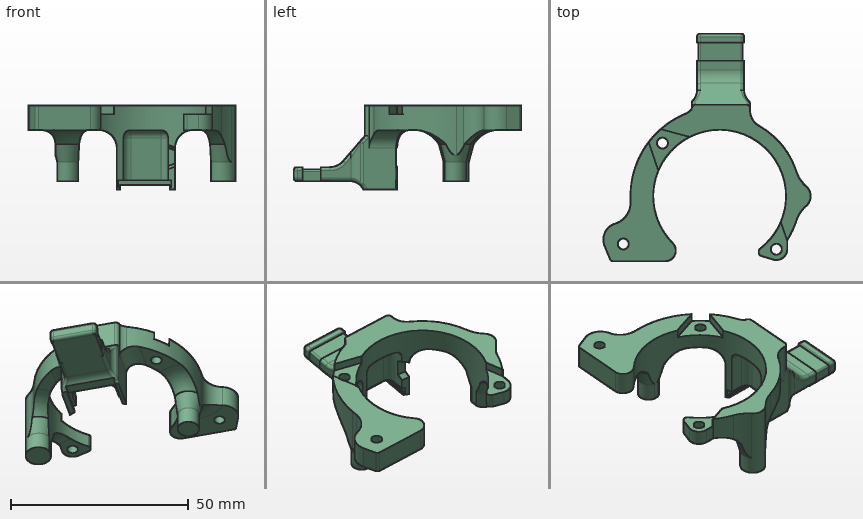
import cadquery as cq
import math

PLATE_THICKNESS = 7.0
BORE_RADIUS = 18.65
LEFT_RING_RADIUS = 25.1
RIGHT_RING_RADIUS = 22.7
BACK_Y = 25.75
FRONT_Y = -18.3
HOLE_DIAMETER = 3.0
SCREW_SEAT_DEPTH = 2.5

FOOT_CENTER = (-28.0, -12.25)
FOOT_RADIUS = 4.75
FOOT_CORNER = (-30.6, FRONT_Y)
FOOT_CORNER_RADIUS = 0.95
FOOT_NECK_RADIUS = 6.0
FOOT_TIP_RADIUS = 3.0
FOOT_HOLE = (-27.1, -13.45)

LUG_CENTER = (15.95, -14.9)
LUG_RADIUS = 3.1
LUG_TIP_RADIUS = 1.2
LUG_EDGE_NORMAL = math.radians(-107)
LUG_SEAT_EDGE = ((17.2, -7.2), (18.9, -12.25))

SEAT_HOLE = (-16.1, 14.9)
SEAT_UPPER_EDGE = ((-8.65, 16.7), (-16.55, 18.85))
SEAT_LOWER_EDGE = ((-17.3, 7.3), (-20.0, 15.3))

LEG_BOTTOM = -14.4
LEG_FLARE_BOTTOM = -9.0
LEG_CONE_TOP = -3.9
LEG_CONE_GROWTH = 1.35
LEG_FLARE_RADIUS = 8.3
LEFT_LEG_RADIUS = 3.0
LEFT_LEG = (-21.6, 0.2)
RIGHT_LEG_RADIUS = 3.6
RIGHT_LEG = (22.05, 0)
RIGHT_LOBE_NECK_RADIUS = 10.0

BLOCK_LEFT = -7.9
BLOCK_RIGHT = 8.6
BLOCK_BOTTOM = -16.7
BLOCK_ROOT_RADIUS = 5.0
BLOCK_WEB_LEFT_RADIUS = 4.0
BLOCK_WEB_RIGHT_RADIUS = 5.0
BLOCK_WEB_RIGHT_END_Y = 24.15
BLOCK_CORNER_RADIUS = 1.2
POCKET_CENTER_X = 0.3
POCKET_WIDTH = 12.55
POCKET_BACK_Y = 23.25
POCKET_ROUNDING = 2.1
POCKET_BOTTOM = -14.15
SLOT_CENTER_X = 0.05
SLOT_WIDTH = 14.85
SLOT_BOTTOM = -16.0
SLOT_BACK_Y = 24.2
SLOT_MOUTH_WIDTH = 14.0
BACK_WALL_BOTTOM = -15.45

WINDOW_ANGLE = math.radians(65)
WINDOW_Z = -7.55
WINDOW_BORE_RADIUS = 18.6
WINDOW_BACK_RADIUS = 20.25
WINDOW_BORE_HALF_HEIGHT = 3.0
WINDOW_BACK_HALF_HEIGHT = 1.85
WINDOW_HALF_LENGTH = 3.2
WINDOW_NARROWING = 0.31

STRAP_CENTER_X = 0.25
STRAP_WIDTH = 13.3
STRAP_END_Y = 45.75
STRAP_TOP = -10.4
STRAP_BOTTOM = -14.4
STRAP_ROOT_Y = 24.35
STRAP_BEND_Y = 35.55
STRAP_BEND_RADIUS = 4.95
STRAP_SLOPE = math.radians(49)
STRAP_ROUNDING = 0.95
GROOVE_START_Y = 38.1
GROOVE_END_Y = 43.2
GROOVE_SIDE_DEPTH = 0.4
GROOVE_TOP_DEPTH = 0.6
GROOVE_ROUNDING = 0.6
STRAP_HEAD_ROUNDING = 0.3
STRAP_FLARE_RADIUS = 4.0


def polar(radius, angle):
    """Point at a radius and angle around the bore axis."""
    return (radius * math.cos(angle), radius * math.sin(angle))


def toward(start, end, distance):
    """Point at a distance from start in the direction of end."""
    length = math.dist(start, end)
    return tuple(a + (b - a) * distance / length for a, b in zip(start, end))


def arc_middle(center, radius, start, end):
    """Middle of the shorter arc from start to end."""
    chord_middle = ((start[0] + end[0]) / 2, (start[1] + end[1]) / 2)
    return toward(center, chord_middle, radius)


def tangent_point(point, center, radius, side):
    """Touch point of the line from a point to a circle; side is +1 or -1."""
    to_point = math.atan2(point[1] - center[1], point[0] - center[0])
    half_angle = math.acos(radius / math.dist(point, center))
    x, y = polar(radius, to_point + side * half_angle)
    return (center[0] + x, center[1] + y)


def circles_meet(center_a, radius_a, center_b, radius_b, side):
    """Meeting point of two circles; side is +1 or -1."""
    gap = math.dist(center_a, center_b)
    bearing = math.atan2(center_b[1] - center_a[1], center_b[0] - center_a[0])
    turn = math.acos((radius_a**2 + gap**2 - radius_b**2) / (2 * radius_a * gap))
    x, y = polar(radius_a, bearing + side * turn)
    return (center_a[0] + x, center_a[1] + y)


def bore_tip(normal, edge_distance, radius, side):
    """Centre of a round tip that touches the bore and a straight edge.

    The edge lies edge_distance from the bore axis, along its outward normal.
    """
    along_normal = edge_distance - radius
    along_edge = side * math.sqrt((BORE_RADIUS + radius) ** 2 - along_normal**2)
    across = normal + math.pi / 2
    return (
        along_normal * math.cos(normal) + along_edge * math.cos(across),
        along_normal * math.sin(normal) + along_edge * math.sin(across),
    )


ORIGIN = (0, 0)
PRISM_HEIGHT = PLATE_THICKNESS - BLOCK_BOTTOM
STRAP_LEFT = STRAP_CENTER_X - STRAP_WIDTH / 2
STRAP_RIGHT = STRAP_CENTER_X + STRAP_WIDTH / 2
BEYOND_PLATE = 64.1


def prism(wire):
    """Extrude a closed outline over the full height of the part."""
    return wire.extrude(PRISM_HEIGHT)


def base():
    """Workplane at the lowest level of the part."""
    return cq.Workplane("XY", origin=(0, 0, BLOCK_BOTTOM))


def slab(x0, x1, y0, y1, z0, z1):
    """Box given by its limits along the three axes."""
    return cq.Workplane("XY").box(x1 - x0, y1 - y0, z1 - z0, centered=False).translate((x0, y0, z0))


def opening(center_x, width, back_y, z0, z1):
    """Box that opens toward the bore, with its width centred on center_x."""
    return slab(center_x - width / 2, center_x + width / 2, 0, back_y, z0, z1)


def left_ring():
    """Upper left quarter of the ring."""
    ring = base().circle(LEFT_RING_RADIUS).extrude(PRISM_HEIGHT)
    return ring.intersect(slab(-LEFT_RING_RADIUS, 0, 0, BACK_Y, BLOCK_BOTTOM, PLATE_THICKNESS))


def left_foot():
    """Straight arm and wide foot below the left quarter of the ring."""
    arm_x = -LEFT_RING_RADIUS
    neck_x = arm_x - FOOT_NECK_RADIUS
    neck_y = FOOT_CENTER[1] + math.sqrt(
        (FOOT_RADIUS + FOOT_NECK_RADIUS) ** 2 - (neck_x - FOOT_CENTER[0]) ** 2
    )
    neck = (neck_x, neck_y)
    neck_start = (arm_x, neck_y)
    neck_end = toward(neck, FOOT_CENTER, FOOT_NECK_RADIUS)
    foot_end = tangent_point(FOOT_CORNER, FOOT_CENTER, FOOT_RADIUS, -1)
    foot_left = (FOOT_CENTER[0] - FOOT_RADIUS, FOOT_CENTER[1])
    tip = bore_tip(-math.pi / 2, -FRONT_Y, FOOT_TIP_RADIUS, -1)
    tip_right = (tip[0] + FOOT_TIP_RADIUS, tip[1])
    outline = (
        base()
        .moveTo(*ORIGIN)
        .lineTo(arm_x, 0)
        .lineTo(*neck_start)
        .threePointArc(arc_middle(neck, FOOT_NECK_RADIUS, neck_start, neck_end), neck_end)
        .threePointArc(foot_left, foot_end)
        .lineTo(*FOOT_CORNER)
        .lineTo(tip[0], FRONT_Y)
        .threePointArc(tip_right, toward(tip, ORIGIN, FOOT_TIP_RADIUS))
        .close()
    )
    corner = cq.selectors.NearestToPointSelector((*FOOT_CORNER, 0))
    return prism(outline).edges("|Z").edges(corner).fillet(FOOT_CORNER_RADIUS)


def right_ring_and_lug():
    """Right half of the ring, ending in the lug with its pointed round tip."""
    lug_right = LUG_CENTER[0] + LUG_RADIUS
    ring_end = (lug_right, -math.sqrt(RIGHT_RING_RADIUS**2 - lug_right**2))
    normal = LUG_EDGE_NORMAL
    reach = polar(LUG_RADIUS, normal)
    edge_start = (LUG_CENTER[0] + reach[0], LUG_CENTER[1] + reach[1])
    edge_distance = edge_start[0] * math.cos(normal) + edge_start[1] * math.sin(normal)
    tip = bore_tip(normal, edge_distance, LUG_TIP_RADIUS, 1)
    tip_reach = polar(LUG_TIP_RADIUS, normal)
    tip_start = (tip[0] + tip_reach[0], tip[1] + tip_reach[1])
    tip_end = toward(tip, ORIGIN, LUG_TIP_RADIUS)
    lug_start = (lug_right, LUG_CENTER[1])
    outline = (
        base()
        .moveTo(*ORIGIN)
        .lineTo(0, RIGHT_RING_RADIUS)
        .threePointArc((RIGHT_RING_RADIUS, 0), ring_end)
        .lineTo(*lug_start)
        .threePointArc(arc_middle(LUG_CENTER, LUG_RADIUS, lug_start, edge_start), edge_start)
        .lineTo(*tip_start)
        .threePointArc(arc_middle(tip, LUG_TIP_RADIUS, tip_start, tip_end), tip_end)
        .close()
    )
    return prism(outline)


def right_lobe():
    """Round lobe over the right leg, blended into the ring by two hollow arcs."""
    lobe = base().center(*RIGHT_LEG).circle(RIGHT_LEG_RADIUS).extrude(PRISM_HEIGHT)
    neck_radius = RIGHT_LOBE_NECK_RADIUS
    for side in (1, -1):
        neck = circles_meet(
            ORIGIN, RIGHT_RING_RADIUS + neck_radius, RIGHT_LEG, RIGHT_LEG_RADIUS + neck_radius, side
        )
        start = toward(neck, ORIGIN, neck_radius)
        end = toward(neck, RIGHT_LEG, neck_radius)
        web = base().moveTo(*start).threePointArc(arc_middle(neck, neck_radius, start, end), end)
        lobe = lobe.union(prism(web.lineTo(*RIGHT_LEG).close()))
    return lobe


def block_web(side_x, end_y, ring_radius, web_radius):
    """Hollow corner from the outside of the ring to one side of the block."""
    turn = math.copysign(1, side_x)
    end = (side_x, end_y)
    web = circles_meet(ORIGIN, ring_radius + web_radius, end, web_radius, -turn)
    start = toward(web, ORIGIN, web_radius)
    middle = arc_middle(web, web_radius, start, end)
    outline = base().moveTo(*start).threePointArc(middle, end).lineTo(0, end_y).lineTo(*ORIGIN).close()
    return prism(outline)


def outline_prism():
    """The plate outline, carried over the full height of the part."""
    block = slab(BLOCK_LEFT, BLOCK_RIGHT, 0, BACK_Y, BLOCK_BOTTOM, PLATE_THICKNESS)
    block = block.faces(">Y").edges("|Z").fillet(BLOCK_CORNER_RADIUS)
    left_end_y = BACK_Y - BLOCK_CORNER_RADIUS
    left_web = block_web(BLOCK_LEFT, left_end_y, LEFT_RING_RADIUS, BLOCK_WEB_LEFT_RADIUS)
    right_web = block_web(BLOCK_RIGHT, BLOCK_WEB_RIGHT_END_Y, RIGHT_RING_RADIUS, BLOCK_WEB_RIGHT_RADIUS)
    body = left_ring().union(left_foot()).union(right_ring_and_lug()).union(right_lobe())
    body = body.union(block).union(left_web).union(right_web).clean()
    return body.cut(base().circle(BORE_RADIUS).extrude(PRISM_HEIGHT))


def screw_seats(plate):
    """Sink the two screw seats into the top and drill the three holes."""
    seat_floor = PLATE_THICKNESS - SCREW_SEAT_DEPTH
    top = cq.Workplane("XY", origin=(0, 0, seat_floor))
    upper_inner, upper_outer = SEAT_UPPER_EDGE
    lower_inner, lower_outer = SEAT_LOWER_EDGE
    left_corners = (
        upper_inner,
        upper_outer,
        toward(ORIGIN, upper_outer, BEYOND_PLATE),
        toward(ORIGIN, lower_outer, BEYOND_PLATE),
        lower_outer,
        lower_inner,
        ORIGIN,
    )
    lug_inner, lug_outer = LUG_SEAT_EDGE
    lug_corners = (
        lug_inner,
        lug_outer,
        toward(lug_inner, lug_outer, BEYOND_PLATE),
        (0, -BEYOND_PLATE),
        ORIGIN,
    )
    for corners in (left_corners, lug_corners):
        plate = plate.cut(top.polyline(corners).close().extrude(SCREW_SEAT_DEPTH))
    holes = cq.Workplane("XY").pushPoints((FOOT_HOLE, SEAT_HOLE, LUG_CENTER)).circle(HOLE_DIAMETER / 2)
    return plate.cut(holes.extrude(PLATE_THICKNESS))


def leg(center, radius):
    """Round leg: a cylinder, a cone, then a hollow flare into the underside of the plate."""
    cone_top = radius + LEG_CONE_GROWTH
    flare_z = -LEG_FLARE_RADIUS
    reach = math.sqrt(LEG_FLARE_RADIUS**2 - (LEG_CONE_TOP - flare_z) ** 2)
    flare = (cone_top + reach, flare_z)
    start = (cone_top, LEG_CONE_TOP)
    end = (flare[0], 0)
    profile = (
        cq.Workplane("XZ")
        .moveTo(0, LEG_BOTTOM)
        .lineTo(radius, LEG_BOTTOM)
        .lineTo(radius, LEG_FLARE_BOTTOM)
        .lineTo(*start)
        .threePointArc(arc_middle(flare, LEG_FLARE_RADIUS, start, end), end)
        .lineTo(0, 0)
        .close()
    )
    return profile.revolve(360, (0, 0, 0), (0, 1, 0)).translate((*center, 0))


def block():
    """Holder block with rounded roots under the plate."""
    radius = BLOCK_ROOT_RADIUS
    body = slab(BLOCK_LEFT - radius, BLOCK_RIGHT + radius, 0, BACK_Y, -radius, 0)
    for x in (BLOCK_LEFT - radius, BLOCK_RIGHT + radius):
        hollow = cq.Workplane("XZ", origin=(x, 0, -radius)).circle(radius).extrude(-BACK_Y)
        body = body.cut(hollow)
    return body.union(slab(BLOCK_LEFT, BLOCK_RIGHT, 0, BACK_Y, BLOCK_BOTTOM, 0))


def block_cutouts():
    """Rounded pocket open to the bore, with a T-shaped slot below it."""
    rounded_bottom = POCKET_BOTTOM - POCKET_ROUNDING
    pocket = opening(POCKET_CENTER_X, POCKET_WIDTH, POCKET_BACK_Y, rounded_bottom, 0)
    pocket = pocket.edges("not <Y").edges("not <Z").fillet(POCKET_ROUNDING)
    pocket = pocket.cut(opening(POCKET_CENTER_X, POCKET_WIDTH, POCKET_BACK_Y, rounded_bottom, POCKET_BOTTOM))
    slot = opening(SLOT_CENTER_X, SLOT_WIDTH, SLOT_BACK_Y, SLOT_BOTTOM, POCKET_BOTTOM)
    mouth = opening(SLOT_CENTER_X, SLOT_MOUTH_WIDTH, STRAP_END_Y, BLOCK_BOTTOM, BACK_WALL_BOTTOM)
    return pocket.union(slot).union(mouth)


def window_section(radius, half_height):
    """Face across the window, tall on the pocket side and low on the outer side."""
    angle = WINDOW_ANGLE
    plane = cq.Plane(
        origin=(*polar(radius, angle), WINDOW_Z),
        xDir=(math.sin(angle), -math.cos(angle), 0),
        normal=(math.cos(angle), math.sin(angle), 0),
    )
    tall = half_height + WINDOW_NARROWING * WINDOW_HALF_LENGTH
    low = half_height - WINDOW_NARROWING * WINDOW_HALF_LENGTH
    length = WINDOW_HALF_LENGTH
    corners = ((-length, -tall), (length, -low), (length, low), (-length, tall))
    return cq.Workplane(plane).polyline(corners).close().wire().val()


def block_window():
    """Window body, narrowing from the bore surface outward."""
    sections = [
        window_section(WINDOW_BORE_RADIUS, WINDOW_BORE_HALF_HEIGHT),
        window_section(WINDOW_BACK_RADIUS, WINDOW_BACK_HALF_HEIGHT),
    ]
    return cq.Workplane(cq.Solid.makeLoft(sections, True))


def strap_profile(bottom_flare):
    """Side outline of the strap; the flared one reaches down to the block bottom."""
    bend_rise = STRAP_BEND_RADIUS * (1 - math.cos(STRAP_SLOPE))
    bend_end = (STRAP_BEND_Y - STRAP_BEND_RADIUS * math.sin(STRAP_SLOPE), STRAP_TOP + bend_rise)
    half_slope = STRAP_SLOPE / 2
    bend_middle = (
        STRAP_BEND_Y - STRAP_BEND_RADIUS * math.sin(half_slope),
        STRAP_TOP + STRAP_BEND_RADIUS * (1 - math.cos(half_slope)),
    )
    root_top = bend_end[1] + (bend_end[0] - STRAP_ROOT_Y) * math.tan(STRAP_SLOPE)
    profile = (
        cq.Workplane("YZ")
        .moveTo(GROOVE_START_Y, STRAP_BOTTOM)
        .lineTo(GROOVE_START_Y, STRAP_TOP)
        .lineTo(STRAP_BEND_Y, STRAP_TOP)
        .threePointArc(bend_middle, bend_end)
        .lineTo(STRAP_ROOT_Y, root_top)
    )
    if bottom_flare:
        flare = (BACK_Y + STRAP_FLARE_RADIUS, STRAP_BOTTOM - STRAP_FLARE_RADIUS)
        drop = BLOCK_BOTTOM - flare[1]
        start = (flare[0] - math.sqrt(STRAP_FLARE_RADIUS**2 - drop**2), BLOCK_BOTTOM)
        end = (flare[0], STRAP_BOTTOM)
        middle = arc_middle(flare, STRAP_FLARE_RADIUS, start, end)
        profile = profile.lineTo(STRAP_ROOT_Y, BLOCK_BOTTOM).lineTo(*start).threePointArc(middle, end)
    else:
        profile = profile.lineTo(STRAP_ROOT_Y, STRAP_BOTTOM)
    return profile.close()


def strap():
    """Strap with rounded edges, a groove around its top and sides, and a head at its end."""
    body = strap_profile(False).extrude(STRAP_WIDTH).translate((STRAP_LEFT, 0, 0))
    body = body.edges("not |X").edges("not <Y").edges("not >Y").fillet(STRAP_ROUNDING)
    core = slab(
        STRAP_LEFT + GROOVE_SIDE_DEPTH,
        STRAP_RIGHT - GROOVE_SIDE_DEPTH,
        STRAP_BEND_Y,
        STRAP_END_Y - STRAP_ROUNDING,
        STRAP_BOTTOM,
        STRAP_TOP - GROOVE_TOP_DEPTH,
    )
    core = core.edges("|Y and >Z").fillet(GROOVE_ROUNDING)
    head = slab(STRAP_LEFT, STRAP_RIGHT, GROOVE_END_Y, STRAP_END_Y, STRAP_BOTTOM, STRAP_TOP)
    head = head.edges("not <Y").fillet(STRAP_ROUNDING).faces("<Y").edges().fillet(STRAP_HEAD_ROUNDING)
    return body.union(core).union(head)


def strap_flare():
    """Hollow flare that widens the strap to the full back of the block."""
    flare_y = BACK_Y + STRAP_FLARE_RADIUS
    plan = slab(BLOCK_LEFT, BLOCK_RIGHT, STRAP_ROOT_Y, flare_y, BLOCK_BOTTOM, 0)
    for x in (STRAP_LEFT - STRAP_FLARE_RADIUS, STRAP_RIGHT + STRAP_FLARE_RADIUS):
        plan = plan.cut(base().center(x, flare_y).circle(STRAP_FLARE_RADIUS).extrude(PRISM_HEIGHT))
    at_block_side = cq.selectors.BoxSelector(
        (BLOCK_LEFT - BLOCK_CORNER_RADIUS, BACK_Y, BLOCK_BOTTOM),
        (BLOCK_RIGHT + BLOCK_CORNER_RADIUS, flare_y - BLOCK_CORNER_RADIUS, 0),
    )
    plan = plan.edges("|Z").edges(at_block_side).fillet(BLOCK_CORNER_RADIUS)
    side = strap_profile(True).extrude(BLOCK_RIGHT - BLOCK_LEFT).translate((BLOCK_LEFT, 0, 0))
    flare = plan.intersect(side)
    return flare.edges("not (|X or |Y or |Z)").edges("not <Z").fillet(STRAP_ROUNDING)


outline = outline_prism()
plate_level = slab(-BEYOND_PLATE, BEYOND_PLATE, -BEYOND_PLATE, BEYOND_PLATE, 0, PLATE_THICKNESS)
plate = outline.intersect(plate_level)
legs = leg(LEFT_LEG, LEFT_LEG_RADIUS).union(leg(RIGHT_LEG, RIGHT_LEG_RADIUS))
under_plate = legs.union(block()).intersect(outline)
body = screw_seats(plate).union(under_plate).union(strap()).union(strap_flare())
result = body.cut(block_cutouts()).cut(block_window())